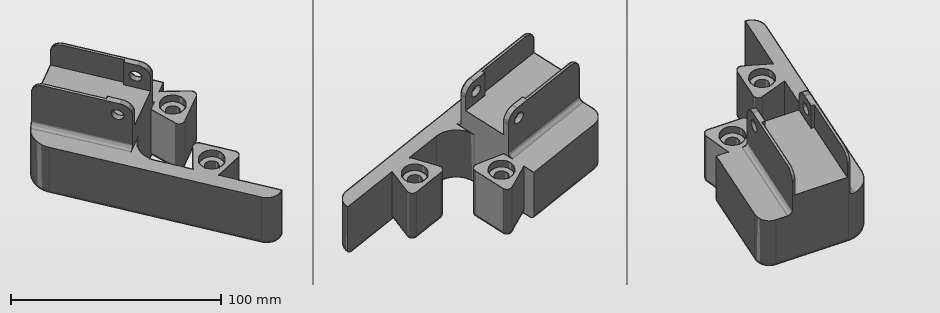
import cadquery as cq
import math

length = 127.0
width = 58.4
height = 59.5
base_height = 31.8
block_length = 50.8
wall_thickness = 7.6
front_corner_radius = 12.7
small_corner_radius = 7.6
inner_corner_radius = 12.7
edge_radius = 2.5

saddle_front = 12.0
saddle_back = 42.2
saddle_floor = 44.3
cheek_thickness = 1.4
pad_thickness = 3.0
pad_length = 13.7
cheek_corner_radius = 6.4
pin_diameter = 6.4
pin_inset = 7.6

ear_root_width = 12.7
ear_tip_width = 25.4
ear_reach = 17.8
ear_corner_radius = 2.8
block_ear_y = 45.7
wall_ear_x = 88.9
screw_diameter = 7.1
counterbore_diameter = 12.7
counterbore_depth = 4.5


def box(x_range, y_range, z_range):
    """Box spanning the given (low, high) ranges."""
    sizes = [high - low for low, high in (x_range, y_range, z_range)]
    corner = (x_range[0], y_range[0], z_range[0])
    return cq.Workplane("XY").box(*sizes, centered=False).translate(corner)


def extrude_outline(outline_height):
    """L-shaped outline with rounded corners, extruded up from the bottom."""
    diagonal = math.sqrt(0.5)
    front_mid = front_corner_radius * (1 - diagonal)
    small_mid = small_corner_radius * (1 - diagonal)
    inner_mid = inner_corner_radius * (1 - diagonal)
    outline = (
        cq.Workplane("XY")
        .moveTo(front_corner_radius, 0)
        .lineTo(length - small_corner_radius, 0)
        .threePointArc((length - small_mid, small_mid), (length, wall_thickness))
        .lineTo(block_length + inner_corner_radius, wall_thickness)
        .threePointArc(
            (block_length + inner_mid, wall_thickness + inner_mid),
            (block_length, wall_thickness + inner_corner_radius),
        )
        .lineTo(block_length, width)
        .lineTo(small_corner_radius, width)
        .threePointArc((small_mid, width - small_mid), (0, width - small_corner_radius))
        .lineTo(0, front_corner_radius)
        .threePointArc((front_mid, front_mid), (front_corner_radius, 0))
        .close()
    )
    return outline.extrude(outline_height)


def make_base():
    """L-shaped base with a rounded outer bottom edge."""
    return extrude_outline(base_height).faces("<Z").edges("<Y").fillet(edge_radius)


def make_saddle():
    """Raised block flanked by thin cheeks with pads around the pin holes."""
    inner_front = saddle_front + cheek_thickness
    inner_back = saddle_back - cheek_thickness
    pad_start = block_length - pad_length
    saddle = box((0, block_length), (saddle_front, saddle_back), (base_height, height))
    saddle = saddle.edges("|Y and >Z").fillet(cheek_corner_radius)
    saddle = saddle.cut(box((0, pad_start), (inner_front, inner_back), (saddle_floor, height)))
    pad_gap = (saddle_front + pad_thickness, saddle_back - pad_thickness)
    saddle = saddle.cut(box((pad_start, block_length), pad_gap, (saddle_floor, height)))
    pin = (
        cq.Workplane("XZ")
        .center(block_length - pin_inset, height - pin_inset)
        .circle(pin_diameter / 2)
        .extrude(-width)
    )
    return saddle.cut(pin)


def make_step_fillets():
    """Concave fillets where the saddle sides meet the top of the base."""
    fillets = cq.Workplane("XY")
    for side_y, direction in ((saddle_front, -1), (saddle_back, 1)):
        outer_y = side_y + direction * edge_radius
        mid_offset = edge_radius * (1 - math.sqrt(0.5))
        strip = (
            cq.Workplane("YZ")
            .moveTo(side_y, base_height)
            .lineTo(outer_y, base_height)
            .threePointArc(
                (side_y + direction * mid_offset, base_height + mid_offset),
                (side_y, base_height + edge_radius),
            )
            .close()
            .extrude(block_length)
        )
        fillets = fillets.add(strip)
    return fillets.combine()


def make_ear():
    """Ear along +X with a counterbored hole and a rounded bottom edge around its tip and sides."""
    return (
        cq.Workplane("XY")
        .moveTo(0, -ear_root_width / 2)
        .lineTo(ear_reach, -ear_tip_width / 2)
        .lineTo(ear_reach, ear_tip_width / 2)
        .lineTo(0, ear_root_width / 2)
        .close()
        .extrude(base_height)
        .edges("|Z and >X")
        .fillet(ear_corner_radius)
        .faces("<Z")
        .edges(">X")
        .fillet(edge_radius)
        .faces(">Z")
        .workplane(origin=(ear_reach / 2, 0, base_height))
        .cboreHole(screw_diameter, counterbore_diameter, counterbore_depth)
    )


ear = make_ear()
block_ear = ear.translate((block_length, block_ear_y, 0))
wall_ear = ear.rotate((0, 0, 0), (0, 0, 1), 90).translate((wall_ear_x, wall_thickness, 0))

upper_body = make_saddle().union(make_step_fillets()).intersect(extrude_outline(height))

result = make_base().union(upper_body).union(block_ear).union(wall_ear)